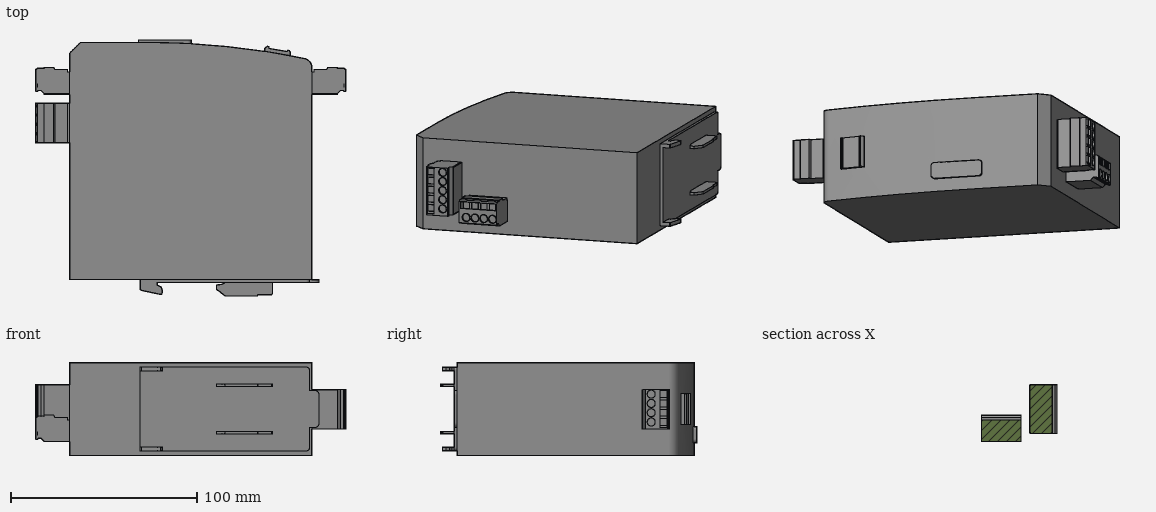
import cadquery as cq
import math


case_width = 130.1
case_depth = 127.3
case_height = 50.0
mid_z = case_height / 2
front_chamfer = 5.8
front_arc_radius = 411.0
front_arc_start_x = 42.5
front_corner_radius = 5.0

label_length = 28.5
label_height = 8.7
label_raise = 1.3
label_x = 37.0
label_z = 6.8
label_corner_radius = 1.8
cover_height = 16.6

plate_left_x = 38.0
plate_right_x = 128.8
plate_height = 45.0
plate_thickness = 1.7
plate_corner_radius = 1.7
tab_end_x = 134.0
tab_height = 20.0
tab_corner_radius = 2.5
claw_thickness = 2.0
rib_thickness = 1.3
rib_spacing = 25.5
rib_depth = 8.8

plug_reach = (166.4 - case_width) / 2
plug_height = 14.1
pole_pitch = 5.0
end_plate = 1.3
foot_raise = 0.5
foot_start = 4.5
foot_inset = 0.2
wire_hole_diameter = 4.3
wire_hole_height = 4.3
window_width = 3.7
window_bottom = 9.2
window_top = 12.8
row_recess_depth = 0.3
row_recess_margin = 1.2
recess_depth = 1.0

left_plug_base_y = 99.8
left_plug_z = 11.8
lower_plug_base_z = 7.5
lower_plug_y = 73.4
right_plug_z = 14.1


def front_y(x):
    """Y position of the front panel surface at x: flat at first, then an arc tangent to it."""
    run = max(0.0, x - front_arc_start_x)
    return case_depth - front_arc_radius + math.sqrt(front_arc_radius**2 - run**2)


def prism(points, bottom_z, height):
    """Closed XY outline raised from bottom_z."""
    return cq.Workplane("XY").workplane(offset=bottom_z).polyline(points).close().extrude(height)


def housing():
    arc_mid_x = (front_arc_start_x + case_width) / 2
    body = (
        cq.Workplane("XY")
        .lineTo(case_width, 0)
        .lineTo(case_width, front_y(case_width))
        .threePointArc((arc_mid_x, front_y(arc_mid_x)), (front_arc_start_x, case_depth))
        .lineTo(front_chamfer, case_depth)
        .lineTo(0, case_depth - front_chamfer)
        .close()
        .extrude(case_height)
    )
    return body.edges("|Z and >X").edges(">Y").fillet(front_corner_radius)


def label():
    """Rounded pad on the front panel, sunk far enough to meet its curve."""
    sunk = 3.3
    pad = cq.Workplane("XY").box(label_length, sunk + label_raise, label_height, centered=False)
    pad = pad.edges("|Y").fillet(label_corner_radius)
    return pad.translate((label_x, case_depth - sunk, label_z))


def cover():
    """Small sloping cover with a lip at each end, rooted in the front panel at mid thickness."""
    outline = [
        (104.7, 119.8),
        (104.7, 124.1),
        (106.2, 125.3),
        (107.0, 125.1),
        (107.2, 124.1),
        (116.8, 122.5),
        (117.1, 123.1),
        (118.0, 123.0),
        (118.5, 122.1),
        (118.5, 118.1),
    ]
    return prism(outline, mid_z - cover_height / 2, cover_height)


def rail_plate():
    plate_length = plate_right_x - plate_left_x
    plate = cq.Workplane("XY").box(plate_length, plate_thickness, plate_height, centered=False)
    plate = plate.edges("|Y and >X").fillet(plate_corner_radius)
    plate = plate.translate((plate_left_x, -plate_thickness, mid_z - plate_height / 2))
    tab_root_x = plate_right_x - plate_thickness
    tab = cq.Workplane("XY").box(tab_end_x - tab_root_x, plate_thickness, tab_height, centered=False)
    tab = tab.edges("|Y and >X").fillet(tab_corner_radius)
    return plate.union(tab.translate((tab_root_x, -plate_thickness, mid_z - tab_height / 2)))


def rail_claws():
    """Hooks at the upper and lower edges of the plate that grip one rail flange."""
    outline = [
        (plate_left_x, 0),
        (plate_left_x, -5.3),
        (38.6, -5.8),
        (48.8, -8.0),
        (49.6, -7.8),
        (50.0, -6.0),
        (49.3, -4.0),
        (47.1, -2.8),
        (47.1, 0),
    ]
    lower_z = mid_z - plate_height / 2
    upper_z = mid_z + plate_height / 2 - claw_thickness
    return prism(outline, lower_z, claw_thickness).union(prism(outline, upper_z, claw_thickness))


def rail_ribs():
    """Pair of thin ribs whose pointed ends catch the other rail flange."""
    outline = [
        (83.2, 0),
        (83.2, -1.7),
        (81.7, -2.5),
        (78.9, -2.8),
        (78.9, -5.3),
        (80.4, -6.3),
        (83.5, -rib_depth),
        (100.8, -rib_depth),
        (101.2, -8.2),
        (108.3, -8.2),
        (109.0, -7.5),
        (109.0, 0),
    ]
    ribs = cq.Workplane("XY")
    for side in (-1, 1):
        center_z = mid_z + side * rib_spacing / 2
        ribs = ribs.union(prism(outline, center_z - rib_thickness / 2, rib_thickness))
    return ribs


def plug_length(poles):
    return poles * pole_pitch + end_plate


def plug(poles, has_foot):
    """Plug with its wiring face on x = 0, its underside on y = 0 and its poles stacked along +Z."""
    length = plug_length(poles)
    outline = [
        (0, 1.3),
        (0.3, 1.0),
        (0.8, 1.0),
        (1.3, 1.7),
        (2.8, 1.7),
        (foot_start, 0),
        (plug_reach, 0),
        (plug_reach, 11.6),
        (17.1, 11.6),
        (17.1, 13.0),
        (10.3, 13.0),
        (9.7, plug_height),
        (foot_start, plug_height),
        (foot_start, 13.6),
        (1.0, 13.6),
        (0, 13.0),
    ]
    body = prism(outline, 0, length)
    if has_foot:
        foot = cq.Workplane("XY").box(
            plug_reach - foot_start, 2 * foot_raise, length - 2 * foot_inset, centered=False
        )
        body = body.union(foot.translate((foot_start, -foot_raise, foot_inset)))
    half_web = (pole_pitch - window_width) / 2
    row_start = end_plate + half_web - row_recess_margin
    row_end = length - half_web
    row_recess = cq.Workplane("XY").box(
        row_recess_depth, window_top - window_bottom, row_end - row_start, centered=False
    )
    body = body.cut(row_recess.translate((0, window_bottom, row_start)))
    for pole in range(poles):
        pole_z = end_plate + (pole + 0.5) * pole_pitch
        wire_hole = (
            cq.Workplane("YZ")
            .center(wire_hole_height, pole_z)
            .circle(wire_hole_diameter / 2)
            .extrude(recess_depth)
        )
        window = cq.Workplane("XY").box(
            recess_depth, window_top - window_bottom, window_width, centered=False
        )
        body = body.cut(wire_hole)
        body = body.cut(window.translate((0, window_bottom, pole_z - window_width / 2)))
    return body


five_pole_plug = plug(5, True).translate((-plug_reach, left_plug_base_y, left_plug_z))

lower_plug_length = plug_length(4)
lower_plug = (
    plug(4, False)
    .rotate((0, 0, 0), (1, 0, 0), 90)
    .translate((-plug_reach, lower_plug_y + lower_plug_length, lower_plug_base_z))
)

right_plug = (
    plug(4, True)
    .mirror("YZ")
    .translate((case_width + plug_reach, left_plug_base_y, right_plug_z))
)

result = housing()
for detail in (
    label(),
    cover(),
    rail_plate(),
    rail_claws(),
    rail_ribs(),
    five_pole_plug,
    lower_plug,
    right_plug,
):
    result = result.union(detail)